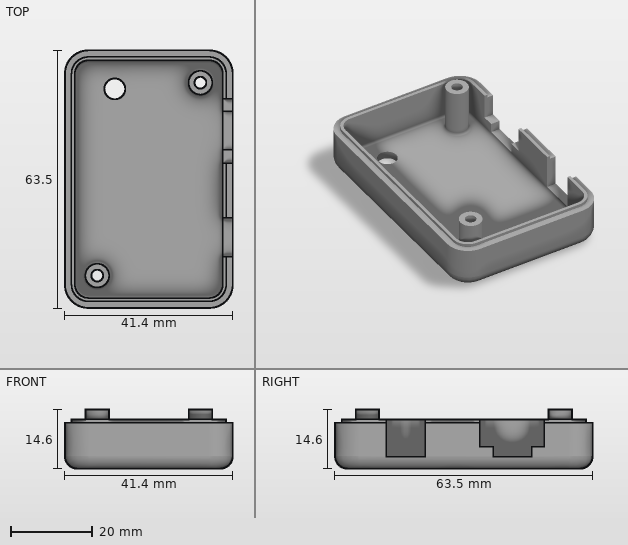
import cadquery as cq

width = 41.4
length = 63.5
total_height = 14.6
rim_height = 11.35
corner_radius = 5.85
bottom_fillet = 3.2

wall = 2.5
floor_thickness = 2.05
floor_fillet = 0.65
lip_inset = 1.65
lip_height = 0.8
lip_top = rim_height + lip_height

post_diameter = 5.85
post_bore = 2.85
post_fillet = 0.65
post_places = [(-12.7, -23.75), (12.7, 23.75)]
opening_diameter = 5.1
opening_place = (-8.4, 22.2)

notches = [
    (3.95, 19.8, 5.45),
    (7.25, 16.7, 3.0),
    (-19.05, -9.5, 3.0),
]


def rounded_block(inset, bottom, top):
    """Body outline moved inward by inset, spanning two heights."""
    return (
        cq.Workplane("XY", origin=(0, 0, bottom))
        .rect(width - 2 * inset, length - 2 * inset)
        .extrude(top - bottom)
        .edges("|Z")
        .fillet(corner_radius - inset)
    )


def make_tray():
    outside = rounded_block(0, 0, rim_height).faces("<Z").edges().fillet(bottom_fillet)
    lip = rounded_block(lip_inset, floor_thickness, lip_top)
    cavity = rounded_block(wall, floor_thickness, lip_top)
    cavity = cavity.faces("<Z").edges().fillet(floor_fillet)
    return outside.union(lip).cut(cavity)


def notch_cutter(low_y, high_y, sill):
    """Box through the +X wall, open at the top."""
    return cq.Workplane("XY").box(
        2 * wall, high_y - low_y, lip_top - sill, centered=(True, False, False)
    ).translate((width / 2, low_y, sill))


def make_post(place):
    """Post standing on the floor, with a flared foot."""
    post_radius = post_diameter / 2
    foot_radius = post_radius + post_fillet
    fillet_mid = post_fillet * (1 - 0.5 ** 0.5)
    return (
        cq.Workplane("XZ")
        .lineTo(foot_radius, 0)
        .lineTo(foot_radius, floor_thickness)
        .threePointArc(
            (post_radius + fillet_mid, floor_thickness + fillet_mid),
            (post_radius, floor_thickness + post_fillet),
        )
        .lineTo(post_radius, total_height)
        .lineTo(0, total_height)
        .close()
        .revolve(360, (0, 0, 0), (0, 1, 0))
        .translate((*place, 0))
    )


result = make_tray()

for notch in notches:
    result = result.cut(notch_cutter(*notch))

for post_place in post_places:
    result = result.union(make_post(post_place))

post_bores = cq.Workplane("XY").pushPoints(post_places).circle(post_bore / 2).extrude(total_height)
opening = cq.Workplane("XY").center(*opening_place).circle(opening_diameter / 2).extrude(floor_thickness)
result = result.cut(post_bores).cut(opening)